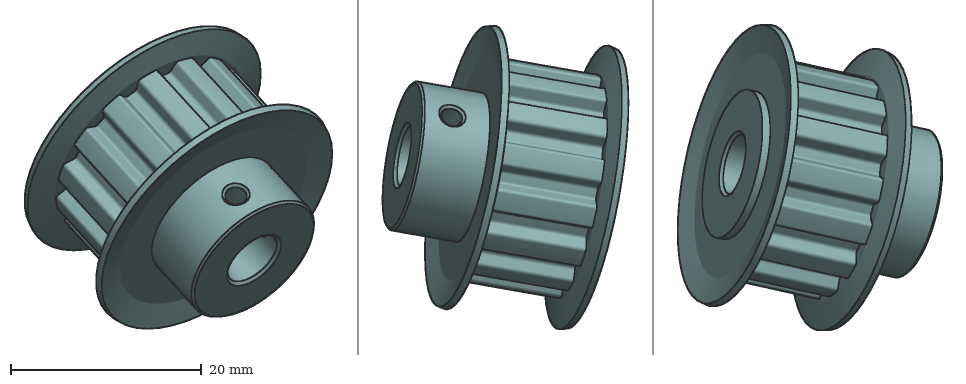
import cadquery as cq
import math


TOTAL_LENGTH = 20.65
FLANGE_RADIUS = 15.1
HUB_RADIUS = 7.95
HUB_CHAMFER = 0.25
BORE_RADIUS = 3.17
BORE_CHAMFER = 0.33

TOOTH_COUNT = 15
TIP_RADIUS = 11.9
ROOT_RADIUS = 10.47
GROOVE_FLOOR_WIDTH = 1.3
GROOVE_HALF_ANGLE = 25.0
GROOVE_OVERCUT = 0.6
TOOTH_FILLET = 0.4
TEETH_START = 1.65
TEETH_WIDTH = 10.9
TEETH_END = TEETH_START + TEETH_WIDTH

FLANGE_THICKNESS = 0.78
FLANGE_FLAT_RADIUS = 12.05
FLANGE_BEND_ANGLE = 13.0

SCREW_X = 17.4
SCREW_RADIUS = 1.15
SCREW_CHAMFER = 0.3


def cylinder(radius, start, end):
    """Solid cylinder along X between two positions."""
    return cq.Workplane("YZ").workplane(offset=start).circle(radius).extrude(end - start)


def make_groove():
    """Straight-sided belt groove pointing along +Y, with its floor on the root cylinder."""
    inner = ROOT_RADIUS - GROOVE_OVERCUT
    outer = TIP_RADIUS + GROOVE_OVERCUT
    slope = math.tan(math.radians(GROOVE_HALF_ANGLE))
    inner_half = GROOVE_FLOOR_WIDTH / 2 - (ROOT_RADIUS - inner) * slope
    outer_half = GROOVE_FLOOR_WIDTH / 2 + (outer - ROOT_RADIUS) * slope
    wedge = (
        cq.Workplane("YZ")
        .workplane(offset=TEETH_START)
        .moveTo(inner, -inner_half)
        .lineTo(outer, -outer_half)
        .lineTo(outer, outer_half)
        .lineTo(inner, inner_half)
        .close()
        .extrude(TEETH_WIDTH)
    )
    return wedge.cut(cylinder(ROOT_RADIUS, TEETH_START, TEETH_END))


def make_teeth():
    """Ring of rounded teeth with one tooth centred on +Z."""
    pitch_angle = 360 / TOOTH_COUNT
    teeth = cylinder(TIP_RADIUS, TEETH_START, TEETH_END)
    groove = make_groove()
    for index in range(TOOTH_COUNT):
        teeth = teeth.cut(groove.rotate((0, 0, 0), (1, 0, 0), index * pitch_angle))
    teeth = teeth.edges("|X").fillet(TOOTH_FILLET)
    first_groove_angle = 90 + pitch_angle / 2
    return teeth.rotate((0, 0, 0), (1, 0, 0), first_groove_angle)


def make_flange(inner_face, outward):
    """Bent sheet flange; outward is -1 or +1, the X direction away from the teeth."""
    angle = math.radians(FLANGE_BEND_ANGLE)
    bend_radius = FLANGE_FLAT_RADIUS + FLANGE_THICKNESS * math.tan(angle / 2)
    outer_face = inner_face + outward * FLANGE_THICKNESS
    rim_inner = inner_face + outward * (FLANGE_RADIUS - bend_radius) * math.tan(angle)
    rim_outer = rim_inner + outward * FLANGE_THICKNESS * math.cos(angle)
    rim_outer_radius = FLANGE_RADIUS - FLANGE_THICKNESS * math.sin(angle)
    return (
        cq.Workplane("XY")
        .moveTo(inner_face, 0)
        .lineTo(inner_face, bend_radius)
        .lineTo(rim_inner, FLANGE_RADIUS)
        .lineTo(rim_outer, rim_outer_radius)
        .lineTo(outer_face, FLANGE_FLAT_RADIUS)
        .lineTo(outer_face, 0)
        .close()
        .revolve(360, (0, 0, 0), (1, 0, 0))
    )


def make_hub():
    """Core running the full length, with chamfered set-screw holes along +Z and +Y."""
    hub = cylinder(HUB_RADIUS, 0, TOTAL_LENGTH).faces(">X").chamfer(HUB_CHAMFER)
    screw_start = cq.Vector(SCREW_X, 0, 0)
    cutter_length = 2 * HUB_RADIUS
    reach = cq.Vector(SCREW_RADIUS, SCREW_RADIUS, SCREW_RADIUS)
    for direction in (cq.Vector(0, 0, 1), cq.Vector(0, 1, 0)):
        screw_hole = cq.Solid.makeCylinder(SCREW_RADIUS, cutter_length, screw_start, direction)
        hub = hub.cut(screw_hole)
        mouth_centre = screw_start + direction * HUB_RADIUS
        low_corner = (mouth_centre - reach).toTuple()
        high_corner = (mouth_centre + reach).toTuple()
        mouth_box = cq.selectors.BoxSelector(low_corner, high_corner)
        hub = hub.edges(mouth_box).chamfer(SCREW_CHAMFER)
    return hub


def make_bore():
    """Through bore widened by a chamfer at both ends."""
    mouth_radius = BORE_RADIUS + BORE_CHAMFER
    return (
        cq.Workplane("XY")
        .moveTo(0, 0)
        .lineTo(0, mouth_radius)
        .lineTo(BORE_CHAMFER, BORE_RADIUS)
        .lineTo(TOTAL_LENGTH - BORE_CHAMFER, BORE_RADIUS)
        .lineTo(TOTAL_LENGTH, mouth_radius)
        .lineTo(TOTAL_LENGTH, 0)
        .close()
        .revolve(360, (0, 0, 0), (1, 0, 0))
    )


result = (
    make_hub()
    .union(make_teeth())
    .union(make_flange(TEETH_START, -1))
    .union(make_flange(TEETH_END, 1))
    .cut(make_bore())
)